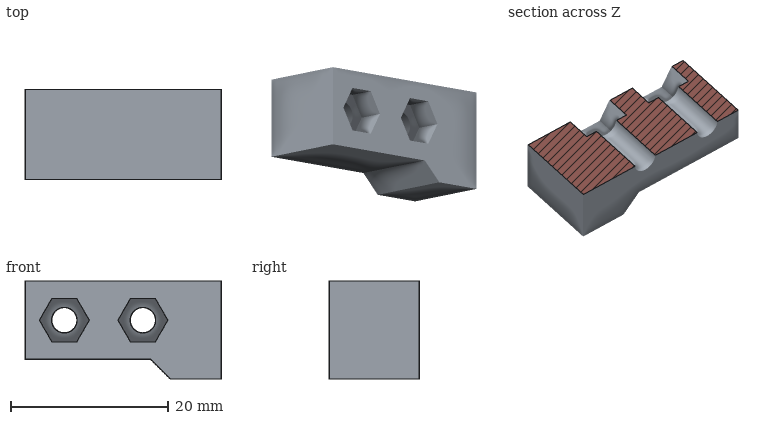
import cadquery as cq
import math

length = 25
depth = 11.5
height = 12.5

step_height = 2.5
ramp_start = 16
ramp_end = ramp_start + step_height

hole_positions = (5, 15)
hole_drop = 5
hole_diameter = 3.2
nut_across_flats = 5.5
nut_across_corners = nut_across_flats / math.cos(math.radians(30))
nut_pocket_depth = 3.4


def make_body():
    """Stepped profile in the XZ plane, extruded from the front face at Y = 0 to the back."""
    profile = (
        cq.Workplane("XZ")
        .moveTo(0, step_height)
        .lineTo(ramp_start, step_height)
        .lineTo(ramp_end, 0)
        .lineTo(length, 0)
        .lineTo(length, height)
        .lineTo(0, height)
        .close()
    )
    return profile.extrude(-depth)


def make_bolt_cutter(x):
    """Through hole along Y with a nut pocket that has corners pointing along X."""
    center = cq.Workplane("XZ").center(x, height - hole_drop)
    hole = center.circle(hole_diameter / 2).extrude(-depth)
    pocket = center.polygon(6, nut_across_corners).extrude(-nut_pocket_depth)
    return hole.union(pocket)


result = make_body()
for hole_x in hole_positions:
    result = result.cut(make_bolt_cutter(hole_x))